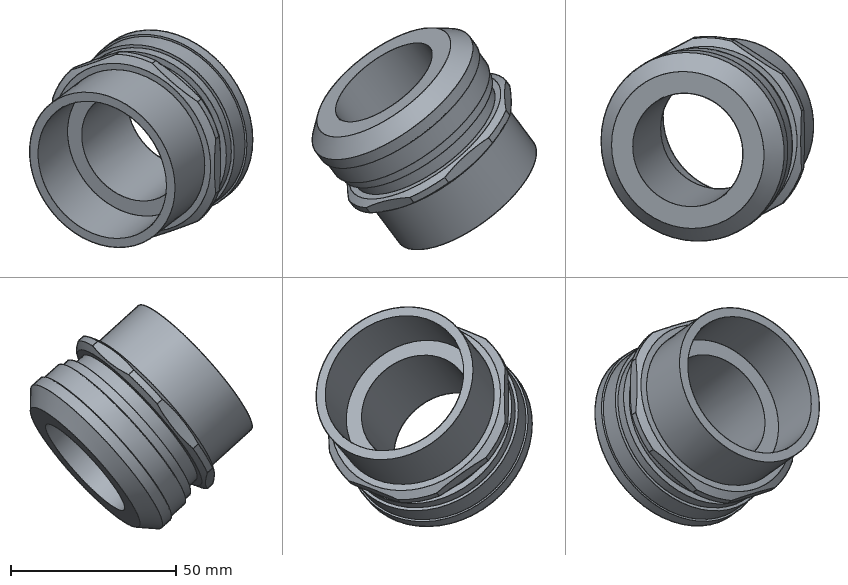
import cadquery as cq

length = 45.7
nut_start = 18.1
nut_end = 23.0
neck_end = 27.6
step_end = 30.65
band_end = 37.25
rim_end = 40.9
socket_depth = 17.95

tube_diameter = 50.9
step_diameter = 55.0
band_diameter = 57.0
rim_diameter = 58.3
end_diameter = 48.5
socket_diameter = 44.9
bore_diameter = 35.0

nut_flats = 57.0
nut_diameter = 59.85
nut_face_diameter = 55.0
nut_bevel_length = 1.4


def revolve_profile(points):
    """Revolve (diameter, axial position) points about the Y axis."""
    outline = [(diameter / 2, y) for diameter, y in points]
    return cq.Workplane("XY").polyline(outline).close().revolve(360, (0, 0, 0), (0, 1, 0))


def make_body():
    return revolve_profile([
        (0, 0),
        (tube_diameter, 0),
        (tube_diameter, neck_end),
        (step_diameter, neck_end),
        (step_diameter, step_end),
        (band_diameter, step_end),
        (band_diameter, band_end),
        (rim_diameter, band_end),
        (rim_diameter, rim_end),
        (end_diameter, length),
        (0, length),
    ])


def make_collar():
    blank = revolve_profile([
        (0, nut_start),
        (nut_face_diameter, nut_start),
        (nut_diameter, nut_start + nut_bevel_length),
        (nut_diameter, nut_end - nut_bevel_length),
        (nut_face_diameter, nut_end),
        (0, nut_end),
    ])
    hexagon = (
        cq.Workplane("XZ")
        .polygon(6, nut_flats, circumscribed=True)
        .extrude(-length)
    )
    return blank.intersect(hexagon)


def make_bore():
    return revolve_profile([
        (0, 0),
        (socket_diameter, 0),
        (socket_diameter, socket_depth),
        (bore_diameter, socket_depth),
        (bore_diameter, length),
        (0, length),
    ])


result = make_body().union(make_collar()).cut(make_bore())